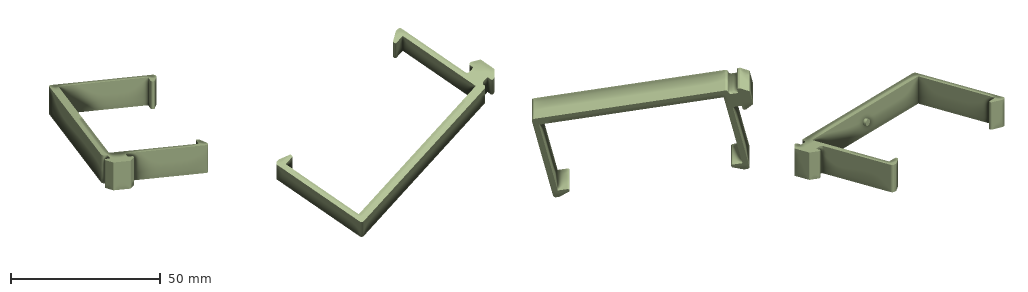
import cadquery as cq

total_length = 74.0
depth = 37.0
height = 10.0

clip_length = 67.0
wall = 2.0
floor = 2.95
corner_radius = 0.95

hook_reach = 5.9
hook_thickness = 2.95
hook_tip_thickness = 1.1
hook_tip_radius = 0.6

head_length = 3.9
neck_inset = 2.0
head_flat = 1.1
head_tip_radius = 0.5
head_front_radius = 0.3

pin_diameter = 2.5
pin_length = 1.1

head_start = total_length - head_length
head_depth = height
neck_depth = head_depth - 2 * neck_inset
hook_base = depth - hook_thickness


def round_edges(body, points, radius):
    """Round the upright edges that pass through the given plan points."""
    for x, y in points:
        edge = cq.selectors.NearestToPointSelector((x, y, height / 2))
        body = body.edges("|Z").edges(edge).fillet(radius)
    return body


def make_clip():
    """U-shaped body with a sloped hook on each arm."""
    right_inside = clip_length - wall
    tip_top = hook_base + hook_tip_thickness
    right_tip = clip_length - hook_reach
    outline = [
        (0, 0),
        (clip_length, 0),
        (clip_length, depth),
        (right_inside, depth),
        (right_tip, tip_top),
        (right_tip, hook_base),
        (right_inside, hook_base),
        (right_inside, floor),
        (wall, floor),
        (wall, hook_base),
        (hook_reach, hook_base),
        (hook_reach, tip_top),
        (wall, depth),
        (0, depth),
    ]
    return cq.Workplane("XY").polyline(outline).close().extrude(height)


def make_rail():
    """Neck and bevelled head, overlapping the right arm by its thickness."""
    neck_top = neck_inset + neck_depth
    flat_end = head_start + head_flat
    neck_start = clip_length - wall
    outline = [
        (neck_start, neck_inset),
        (head_start, neck_inset),
        (head_start, 0),
        (flat_end, 0),
        (total_length, neck_inset),
        (total_length, neck_top),
        (flat_end, head_depth),
        (head_start, head_depth),
        (head_start, neck_top),
        (neck_start, neck_top),
    ]
    return cq.Workplane("XY").polyline(outline).close().extrude(height)


def make_pin():
    """Round pin centred on the floor, starting at mid-floor so that it joins."""
    return (
        cq.Workplane("XZ", origin=(clip_length / 2, floor / 2, height / 2))
        .circle(pin_diameter / 2)
        .extrude(-(floor / 2 + pin_length))
    )


body = make_clip().union(make_rail())

outer_corners = [(x, y) for x in (0, clip_length) for y in (0, depth)]
neck_roots = [(clip_length, neck_inset), (clip_length, neck_inset + neck_depth)]
body = round_edges(body, outer_corners + neck_roots, corner_radius)

hook_tips = [
    (x, y)
    for x in (hook_reach, clip_length - hook_reach)
    for y in (hook_base, hook_base + hook_tip_thickness)
]
body = round_edges(body, hook_tips, hook_tip_radius)

head_tips = [
    (x, y)
    for x in (head_start, head_start + head_flat)
    for y in (0, head_depth)
]
body = round_edges(body, head_tips, head_tip_radius)

head_front = [(total_length, neck_inset), (total_length, neck_inset + neck_depth)]
body = round_edges(body, head_front, head_front_radius)

result = body.union(make_pin())